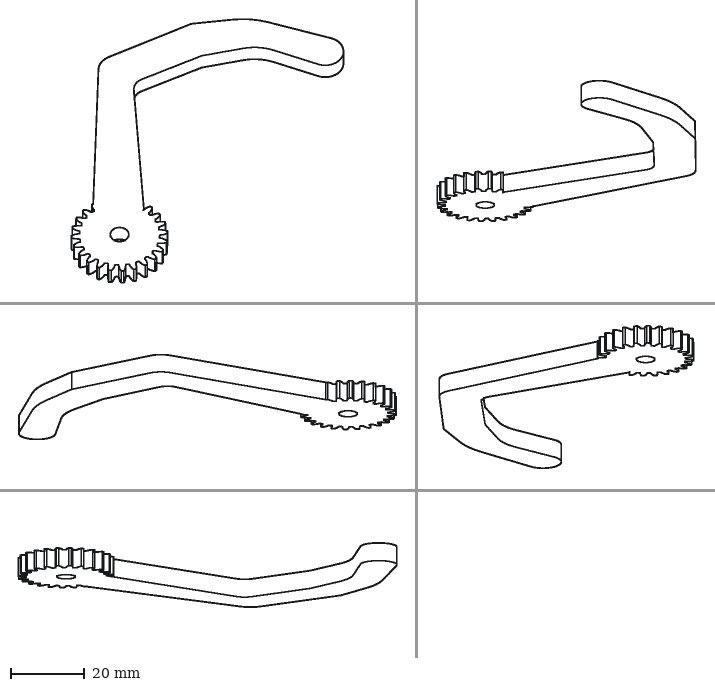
import cadquery as cq
import math

overall_length = 103.6
thickness = 5.0

tooth_count = 24
pitch_radius = 12.0
pressure_angle = math.radians(20)
dedendum_ratio = 1.2
root_fillet = 0.4
bore_diameter = 5.0
module = 2 * pitch_radius / tooth_count
tip_radius = pitch_radius + module
root_radius = pitch_radius - dedendum_ratio * module
base_radius = pitch_radius * math.cos(pressure_angle)

end_radius = 5.0
end_x = -1.2
end_y = overall_length - tip_radius - end_radius

outer_bend = (-24.2, 81.3)
outer_knee = (-34.9, 69.1)
outer_elbow = (-45.0, 42.6)
outer_foot = (-12.6, 3.5)
inner_bend = (-16.1, 75.3)
inner_knee = (-25.3, 62.4)
inner_elbow = (-32.8, 43.0)
inner_foot = (-1.0, 11.2)

outer_bend_radius = 21.8
inner_bend_radius = 13.5
outer_elbow_radius = 5.3
inner_elbow_radius = 3.8


def polar(radius, angle):
    return (radius * math.cos(angle), radius * math.sin(angle))


def involute(angle):
    return math.tan(angle) - angle


def half_tooth_angle(radius):
    """Half the angle that an involute tooth spans at the given radius."""
    at_pitch = math.pi / (2 * tooth_count)
    return at_pitch + involute(pressure_angle) - involute(math.acos(base_radius / radius))


def make_gear():
    """Solid gear with arc-approximated involute flanks and radial flanks below the base circle."""
    tooth_pitch = 2 * math.pi / tooth_count
    flank_radius = (base_radius + tip_radius) / 2
    root_corner_limit = (root_radius + base_radius) / 2
    base_half = half_tooth_angle(base_radius)
    flank_half = half_tooth_angle(flank_radius)
    tip_half = half_tooth_angle(tip_radius)

    profile = cq.Workplane("XY").moveTo(*polar(root_radius, -base_half))
    for tooth in range(tooth_count):
        axis = tooth * tooth_pitch
        next_axis = axis + tooth_pitch
        profile = (
            profile.lineTo(*polar(base_radius, axis - base_half))
            .threePointArc(polar(flank_radius, axis - flank_half), polar(tip_radius, axis - tip_half))
            .threePointArc(polar(tip_radius, axis), polar(tip_radius, axis + tip_half))
            .threePointArc(polar(flank_radius, axis + flank_half), polar(base_radius, axis + base_half))
            .lineTo(*polar(root_radius, axis + base_half))
            .threePointArc(
                polar(root_radius, axis + tooth_pitch / 2),
                polar(root_radius, next_axis - base_half),
            )
        )
    gear = profile.close().extrude(thickness)
    root_corners = gear.edges("|Z").filter(
        lambda edge: math.hypot(edge.Center().x, edge.Center().y) < root_corner_limit
    )
    return root_corners.fillet(root_fillet)


def end_tangent_point(corner, side):
    """Point where the line from a corner touches the rounded end; side is +1 or -1."""
    dx = corner[0] - end_x
    dy = corner[1] - end_y
    angle = math.atan2(dy, dx) + side * math.acos(end_radius / math.hypot(dx, dy))
    return (end_x + end_radius * math.cos(angle), end_y + end_radius * math.sin(angle))


def round_corner(body, corner, radius):
    """Fillet the upright edge that stands at the given corner."""
    edge = cq.selectors.NearestToPointSelector((*corner, thickness / 2))
    return body.edges("|Z").edges(edge).fillet(radius)


def make_arm():
    """Bent flat arm that runs from the gear to its rounded free end."""
    outline = [
        (0, 0),
        outer_foot,
        outer_elbow,
        outer_knee,
        outer_bend,
        end_tangent_point(outer_bend, -1),
        end_tangent_point(inner_bend, 1),
        inner_bend,
        inner_knee,
        inner_elbow,
        inner_foot,
    ]
    arm = cq.Workplane("XY").polyline(outline).close().extrude(thickness)
    arm = round_corner(arm, outer_bend, outer_bend_radius)
    arm = round_corner(arm, inner_bend, inner_bend_radius)
    arm = round_corner(arm, outer_elbow, outer_elbow_radius)
    arm = round_corner(arm, inner_elbow, inner_elbow_radius)
    rounded_end = cq.Workplane("XY").center(end_x, end_y).circle(end_radius).extrude(thickness)
    return arm.union(rounded_end)


bore = cq.Workplane("XY").circle(bore_diameter / 2).extrude(thickness)
result = make_gear().union(make_arm()).cut(bore)